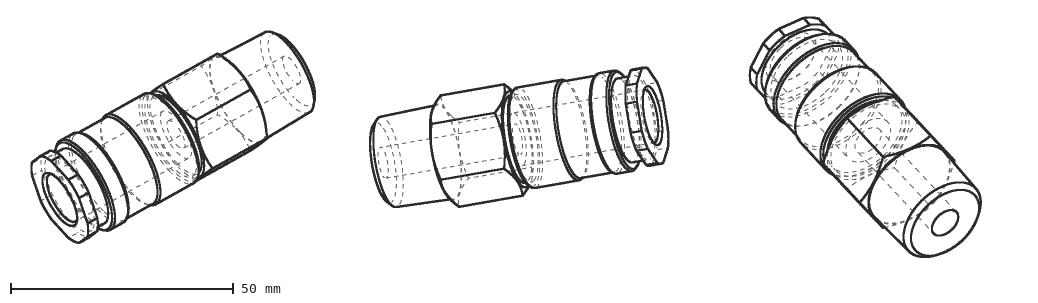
import cadquery as cq
import math

ring_end = 2.7
sleeve_start = 6.5
front_band_end = 11.15
rear_band_start = 19.1
sleeve_end = 30.6
hex_start = 32.05
hex_end = 49.15
total_length = 64.0

ring_radius = 11.0
ring_flats = 21.0
ring_neck_radius = 9.6

band_radius = 23.0 / 2
waist_radius = 11.1
band_bevel_length = 0.5
sleeve_neck_radius = 10.0

hex_flats = 22.0
hex_face_radius = 10.95
hex_bevel_angle = 30

thread_base_radius = 10.75
taper_slope = 1 / 32
tip_chamfer = 1.2

tube_radius = 6.0
tube_depth = hex_start
tube_chamfer = 0.7
passage_radius = 3.5


def revolve_outline(points):
    """Revolve (radius, y) points about the Y axis, closing along the axis."""
    outline = [(0, points[0][1])] + points + [(0, points[-1][1])]
    return cq.Workplane("XY").polyline(outline).close().revolve(360, (0, 0, 0), (0, 1, 0))


def hex_prism(across_flats, start, end):
    corner_diameter = across_flats / math.cos(math.radians(30))
    plane = cq.Workplane("XZ", origin=(0, start, 0))
    return plane.polygon(6, corner_diameter).extrude(start - end)


def band(start, end):
    return revolve_outline([
        (waist_radius, start),
        (band_radius, start + band_bevel_length),
        (band_radius, end - band_bevel_length),
        (waist_radius, end),
    ])


def release_ring():
    disc = revolve_outline([(ring_radius, 0), (ring_radius, ring_end)])
    ring = disc.intersect(hex_prism(ring_flats, 0, ring_end))
    neck = revolve_outline([(ring_neck_radius, ring_end), (ring_neck_radius, sleeve_start)])
    return ring.union(neck)


def sleeve():
    waist = revolve_outline([(waist_radius, front_band_end), (waist_radius, rear_band_start)])
    neck = revolve_outline([(sleeve_neck_radius, sleeve_end), (sleeve_neck_radius, hex_start)])
    front_band = band(sleeve_start, front_band_end)
    rear_band = band(rear_band_start, sleeve_end)
    return front_band.union(waist).union(rear_band).union(neck)


def hex_nut():
    corner_radius = hex_flats / 2 / math.cos(math.radians(30))
    bevel_length = (corner_radius - hex_face_radius) * math.tan(math.radians(hex_bevel_angle))
    envelope = revolve_outline([
        (hex_face_radius, hex_start),
        (corner_radius, hex_start + bevel_length),
        (corner_radius, hex_end - bevel_length),
        (hex_face_radius, hex_end),
    ])
    return hex_prism(hex_flats, hex_start, hex_end).intersect(envelope)


def thread():
    chamfer_start = total_length - tip_chamfer
    end_radius = thread_base_radius - (chamfer_start - hex_end) * taper_slope
    return revolve_outline([
        (thread_base_radius, hex_end),
        (end_radius, chamfer_start),
        (end_radius - tip_chamfer, total_length),
    ])


def bores():
    return revolve_outline([
        (tube_radius + tube_chamfer, 0),
        (tube_radius, tube_chamfer),
        (tube_radius, tube_depth),
        (passage_radius, tube_depth),
        (passage_radius, total_length),
    ])


result = release_ring().union(sleeve()).union(hex_nut()).union(thread()).cut(bores())